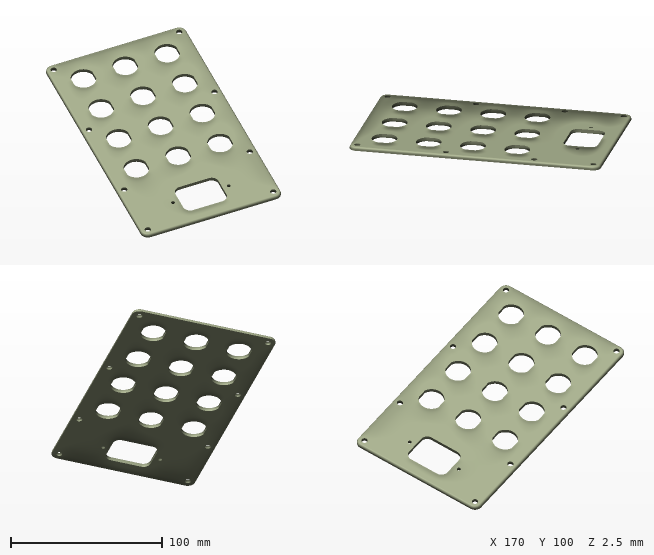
import cadquery as cq

length = 170.0
module = length / 17
width = 10 * module
thickness = 2.5
corner_radius = module / 2
edge_radius = 1.5

screw_diameter = 4.0
screw_columns = [-8 * module, -2 * module, 4 * module, 8 * module]
screw_row = width / 2 - corner_radius

button_diameter = 17.0
button_flat_distance = 15.6
button_pitch = 3 * module
button_columns = 4
button_rows = 3
button_center_x = -2 * module

window_x = 63.5
window_length = 23.1
window_width = 31.0
window_radius = 5.0
mount_diameter = 2.5
mount_offset = 2 * module


def make_plate():
    """Rounded plate standing on Z = 0, with a fillet around its top edge."""
    plate = cq.Workplane("XY").box(length, width, thickness, centered=(True, True, False))
    plate = plate.edges("|Z").fillet(corner_radius)
    return plate.faces(">Z").edges().fillet(edge_radius)


def round_holes(points, diameter):
    return cq.Workplane("XY").pushPoints(points).circle(diameter / 2).extrude(thickness)


def button_openings():
    """Round cutters trimmed by bars to give the two flats."""
    grid = cq.Workplane("XY").center(button_center_x, 0).rarray(
        button_pitch, button_pitch, button_columns, button_rows
    )
    rounds = grid.circle(button_diameter / 2).extrude(thickness)
    bars = grid.rect(button_diameter, button_flat_distance).extrude(thickness)
    return rounds.intersect(bars)


def window_opening():
    window = cq.Workplane("XY").center(window_x, 0).rect(window_length, window_width)
    return window.extrude(thickness).edges("|Z").fillet(window_radius)


screw_points = [(x, y) for x in screw_columns for y in (-screw_row, screw_row)]
mount_points = [(window_x, -mount_offset), (window_x, mount_offset)]

result = (
    make_plate()
    .cut(round_holes(screw_points, screw_diameter))
    .cut(button_openings())
    .cut(window_opening())
    .cut(round_holes(mount_points, mount_diameter))
)